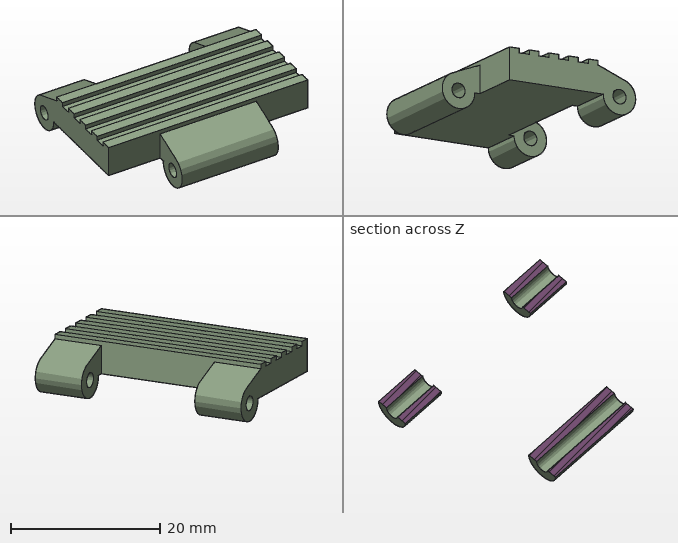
import cadquery as cq
import math

overall_length = 25.3
overall_width = 31.0
knuckle_radius = 2.5
pin_diameter = 2.0
plate_length = 13.67
plate_top = 4.6
groove_depth = 0.62
rib_count = 5
outer_knuckle_width = 6.98
middle_knuckle_width = 14.97

pin_x = overall_length / 2 - knuckle_radius
plate_edge_x = plate_length / 2
groove_floor = plate_top - groove_depth
groove_count = rib_count - 1
rib_width = plate_length / (rib_count + groove_count)
outer_knuckle_y = (overall_width - outer_knuckle_width) / 2


def ribbed_plate():
    """Flat plate with equally wide ribs and grooves running along Y."""
    plate = cq.Workplane("XY").box(
        plate_length, overall_width, plate_top, centered=(True, True, False)
    )
    for index in range(groove_count):
        groove_x = -plate_edge_x + (2 * index + 1.5) * rib_width
        groove = (
            cq.Workplane("XY", origin=(groove_x, 0, groove_floor))
            .box(rib_width, overall_width, groove_depth, centered=(True, True, False))
        )
        plate = plate.cut(groove)
    return plate


def knuckle(side, center_y, width):
    """Hinge knuckle on the -X (side = -1) or +X (side = 1) edge of the plate."""
    run = pin_x - plate_edge_x
    distance = math.hypot(run, groove_floor)
    tangent_angle = math.atan2(groove_floor, -run) - math.acos(knuckle_radius / distance)
    tangent_x = pin_x + knuckle_radius * math.cos(tangent_angle)
    tangent_z = knuckle_radius * math.sin(tangent_angle)

    plane = cq.Workplane("XZ", origin=(0, center_y + width / 2, 0))
    web = (
        plane.moveTo(side * plate_edge_x, 0)
        .lineTo(side * plate_edge_x, groove_floor)
        .lineTo(side * tangent_x, tangent_z)
        .lineTo(side * pin_x, 0)
        .close()
        .extrude(width)
    )
    barrel = plane.center(side * pin_x, 0).circle(knuckle_radius).extrude(width)
    pin_hole = plane.center(side * pin_x, 0).circle(pin_diameter / 2).extrude(width)
    return web.union(barrel).cut(pin_hole)


result = (
    ribbed_plate()
    .union(knuckle(-1, -outer_knuckle_y, outer_knuckle_width))
    .union(knuckle(-1, outer_knuckle_y, outer_knuckle_width))
    .union(knuckle(1, 0, middle_knuckle_width))
)